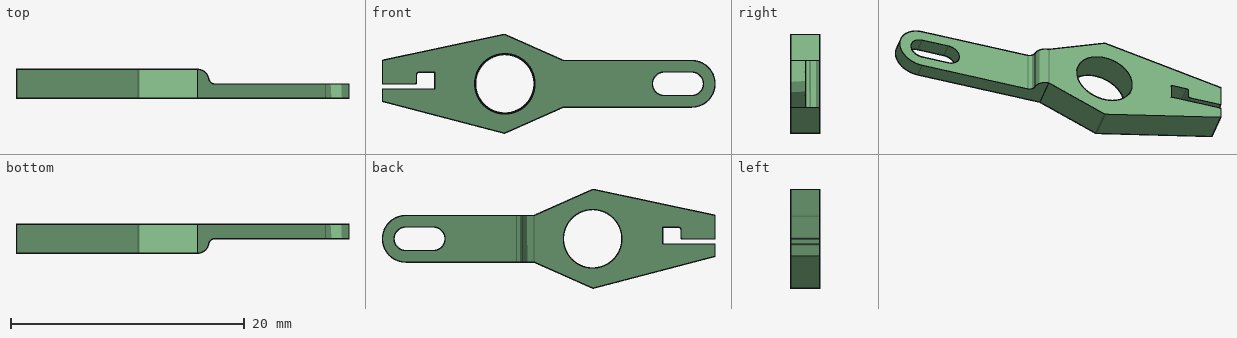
import cadquery as cq
import math

length = 28.5
head_thickness = 2.5
arm_thickness = 1.25
arm_width = 4.02
arm_radius = arm_width / 2
arm_end_x = length - arm_radius
shoulder_x = 15.5

peak_x = 10.45
peak_z = 4.25
nose_top_z = 2.02
nose_bottom_z = -1.5
corner_radius = 0.1

bore_x = 10.5
bore_diameter = 5.0
bore_chamfer = 0.1

slot_top_z = -0.03
slot_bottom_z = -0.43
slot_end_x = 4.47
hook_start_x = 2.94
hook_top_z = 0.97
hook_corner_radius = 0.17

long_hole_width = 2.0
long_hole_start_x = 24.15

step_radius = 1.0
step_fillet = 0.5


def make_lever():
    """Full-thickness lever with its hooked nose slot and rounded corners."""
    outline = (
        cq.Workplane("XZ")
        .moveTo(0, nose_top_z)
        .lineTo(peak_x, peak_z)
        .lineTo(shoulder_x, arm_radius)
        .lineTo(arm_end_x, arm_radius)
        .threePointArc((length, 0), (arm_end_x, -arm_radius))
        .lineTo(shoulder_x, -arm_radius)
        .lineTo(peak_x, -peak_z)
        .lineTo(0, nose_bottom_z)
        .lineTo(0, slot_bottom_z)
        .lineTo(slot_end_x, slot_bottom_z)
        .lineTo(slot_end_x, hook_top_z)
        .lineTo(hook_start_x, hook_top_z)
        .lineTo(hook_start_x, slot_top_z)
        .lineTo(0, slot_top_z)
        .close()
    )
    rounded_corners = [
        (0, nose_top_z, corner_radius),
        (peak_x, peak_z, corner_radius),
        (peak_x, -peak_z, corner_radius),
        (0, nose_bottom_z, corner_radius),
        (0, slot_bottom_z, corner_radius),
        (hook_start_x, hook_top_z, hook_corner_radius),
        (hook_start_x, slot_top_z, hook_corner_radius),
        (0, slot_top_z, corner_radius),
    ]
    lever = outline.extrude(-head_thickness)
    for x, z, radius in rounded_corners:
        corner = cq.selectors.NearestToPointSelector((x, head_thickness / 2, z))
        lever = lever.edges("|Y").edges(corner).fillet(radius)
    return lever


def make_step_cut():
    """Material behind the arm, bounded by a convex arc blending into a concave one."""
    round_center_y = head_thickness - step_radius
    fillet_center_y = arm_thickness + step_fillet
    center_distance = step_radius + step_fillet
    center_rise = fillet_center_y - round_center_y
    fillet_center_x = shoulder_x + math.sqrt(center_distance**2 - center_rise**2)
    tangent_angle = math.asin(center_rise / center_distance)

    def on_round(angle):
        return (
            shoulder_x + step_radius * math.cos(angle),
            round_center_y + step_radius * math.sin(angle),
        )

    def on_fillet(angle):
        return (
            fillet_center_x + step_fillet * math.cos(angle),
            fillet_center_y + step_fillet * math.sin(angle),
        )

    round_middle = (math.pi / 2 + tangent_angle) / 2
    fillet_start = math.pi + tangent_angle
    fillet_middle = (fillet_start + 3 * math.pi / 2) / 2
    return (
        cq.Workplane("XY")
        .moveTo(shoulder_x, head_thickness)
        .threePointArc(on_round(round_middle), on_round(tangent_angle))
        .threePointArc(on_fillet(fillet_middle), (fillet_center_x, arm_thickness))
        .lineTo(length, arm_thickness)
        .lineTo(length, head_thickness)
        .close()
        .extrude(arm_width, both=True)
    )


def make_bore():
    """Through bore with a conical mouth at the front face."""
    radius = bore_diameter / 2
    return (
        cq.Workplane("XY")
        .moveTo(bore_x, 0)
        .lineTo(bore_x + radius + bore_chamfer, 0)
        .lineTo(bore_x + radius, bore_chamfer)
        .lineTo(bore_x + radius, head_thickness)
        .lineTo(bore_x, head_thickness)
        .close()
        .revolve(360, (bore_x, 0), (bore_x, 1))
    )


def make_long_hole():
    """Elongated hole whose outer end is concentric with the arm end."""
    return (
        cq.Workplane("XZ")
        .center((long_hole_start_x + arm_end_x) / 2, 0)
        .slot2D(arm_end_x - long_hole_start_x + long_hole_width, long_hole_width)
        .extrude(-head_thickness)
    )


result = make_lever().cut(make_step_cut()).cut(make_bore()).cut(make_long_hole())